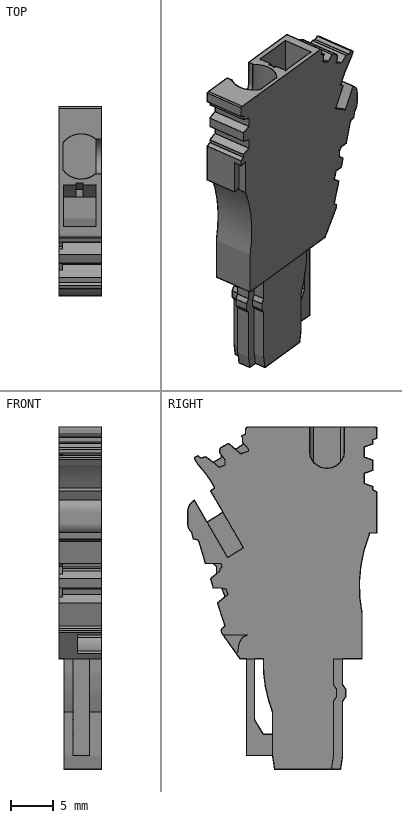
import cadquery as cq
import math


width = 5.1
depth = 22.55
height = 40.75
housing_bottom = 13.15

rear_crown = 0.25
rear_crown_drop = 0.1
tooth_tip_y = 22.05
tooth_root_y = 21.03
rear_gap_tops = (38.7, 35.57)
rear_gap_height = 1.9
rear_gap_slope = 0.35
ledge_z = 32.3
waist_top = (21.65, 27.95)
waist_middle = (20.45, 21.48)
waist_bottom = (20.8, 18.5)

block_inset = 1.0
block_height = 4.2

hole_x, hole_y = 2.65, 16.6
hole_radius = 2.7
hole_depth = 5.7
hole_wall = 0.5
side_wall_x = 4.45
side_notch_y = hole_y
side_notch_radius = 2.08
side_notch_centre_depth = 2.85

window_x = 0.57
window_front, window_rear = 8.25, 13.15
window_depth = 5.7
ramp_foot_y, ramp_drop = 11.75, 1.95
floor_break_y, floor_drop = 9.15, 0.25
slot_x_start, slot_x_end = 2.05, 2.9
slot_rear, slot_foot_y, slot_drop = 13.4, 12.65, 2.45

web_thickness = 0.45
groove_roots = (
    ((6.5, 38.95), (7.2, 38.15), (7.25, 37.85), (6.3, 37.55), (5.6, 38.2), (5.85, 38.2)),
    ((3.85, 37.65), (4.5, 36.8), (4.45, 36.2), (3.75, 35.95), (3.05, 36.55)),
    ((3.05, 24.5), (4.0, 24.5), (4.1, 24.1), (3.87, 23.9), (3.85, 23.6), (3.42, 23.25), (3.42, 24.12)),
    ((4.08, 21.55), (4.6, 21.45), (4.8, 20.82), (4.45, 20.55)),
)

notch_mouth = (0.8, 32.03)
notch_floor = ((4.2, 30.6), (2.32, 29.42))
notch_extra_depth = 4.9

latch_x = 2.2
latch_top, latch_bottom = 16.0, 13.8
latch_back_y, latch_lip_y = 7.15, 5.8
latch_nose_top, latch_nose_middle, latch_nose_foot = (6.5, 15.7), (6.15, 15.0), (6.05, 14.05)
latch_mouth_y = 3.65

plug_x = 0.6
plug_rear = 17.35
plug_front_top, plug_front = 9.0, 10.1
plug_taper_z = 1.65
plug_taper = 0.25
plug_step_z = 6.8
shoulder_top = (9.05, 11.4)
shoulder_middle = (9.4, 9.05)
rear_edge_bump = 0.35
bump_z = 9.1
bump_tip_height = 0.9
bump_base_height = 1.95
overlap = 0.4

strip_x_start, strip_x_end = 1.7, 3.65
rib_x_start = 2.05
rib_offset = 1.1
arm_front, arm_rear = 7.0, 8.0
foot_z, foot_slope_z = 4.2, 5.9


def extrude_x(sketch, x_start, x_end):
    """Extrude a closed YZ outline between two X positions."""
    return sketch.close().extrude(x_end - x_start).translate((x_start, 0, 0))


def slab(points, x_start, x_end):
    """Straight-sided plate from YZ points."""
    return extrude_x(cq.Workplane("YZ").polyline(points), x_start, x_end)


def rear_gap(top):
    """Four points of one trapezoid gap between the rear teeth, from the top down."""
    bottom = top - rear_gap_height
    return [
        (tooth_tip_y, top),
        (tooth_root_y, top - rear_gap_slope),
        (tooth_root_y, bottom + rear_gap_slope),
        (tooth_tip_y, bottom),
    ]


def make_housing():
    top_round_start, top_round_middle, top_round_end = (7.2, height), (6.95, 40.63), (6.9, 40.4)
    upper_front = [
        (6.9, 39.9), (6.4, 39.65), (6.5, 39.5), (6.5, 38.95), (6.65, 38.7), (5.85, 38.2),
        (5.6, 38.2), (4.9, 38.8), (3.9, 38.25), (3.85, 38.05), (3.85, 37.65), (3.95, 37.45),
        (3.95, 37.05), (3.05, 36.55), (2.15, 37.2), (1.6, 37.05), (1.22, 37.33), (0.85, 37.12),
        (0.85, 36.85), (1.3, 36.2), (1.65, 35.8),
    ]
    guide_middle, guide_end = (2.5, 34.7), (3.2, 33.5)
    screwdriver_notch = [(2.75, 33.15), *notch_floor, notch_mouth]
    nose_middle, nose_end = (0.25, 31.45), (0.0, 30.65)
    chin_start, chin_middle, chin_end = (0.0, 29.18), (0.15, 28.6), (0.5, 28.2)
    lower_front = [
        (0.65, 27.42), (1.2, 27.3), (1.35, 27.1), (2.1, 24.5), (3.05, 24.5), (3.42, 24.12),
        (3.42, 23.25), (2.75, 22.7), (3.05, 21.55), (4.08, 21.55), (4.45, 20.55), (3.55, 19.8),
        (4.45, 17.07), (4.08, 16.75), (4.0, 16.55), (4.05, 16.25), (6.25, housing_bottom),
    ]
    rear_teeth = [(waist_top[0], ledge_z), (depth, ledge_z), (depth, 33.0), (tooth_tip_y, 33.25)]
    for top in reversed(rear_gap_tops):
        rear_teeth += reversed(rear_gap(top))
    rear_teeth += [(tooth_tip_y, 39.2), (depth, 39.4), (depth, height - rear_crown_drop)]

    outline = cq.Workplane("YZ").moveTo(depth - rear_crown, height)
    outline = outline.lineTo(*top_round_start).threePointArc(top_round_middle, top_round_end)
    for point in upper_front:
        outline = outline.lineTo(*point)
    outline = outline.threePointArc(guide_middle, guide_end)
    for point in screwdriver_notch:
        outline = outline.lineTo(*point)
    outline = outline.threePointArc(nose_middle, nose_end).lineTo(*chin_start)
    outline = outline.threePointArc(chin_middle, chin_end)
    for point in lower_front + [(waist_bottom[0], housing_bottom), waist_bottom]:
        outline = outline.lineTo(*point)
    outline = outline.threePointArc(waist_middle, waist_top)
    for point in rear_teeth:
        outline = outline.lineTo(*point)
    return extrude_x(outline, 0, width)


def make_finger_block():
    bottom = ledge_z - block_height
    inner_y = waist_top[0] - overlap
    points = [(inner_y, bottom), (depth, bottom), (depth, ledge_z), (inner_y, ledge_z)]
    return slab(points, block_inset, width)


def make_hole():
    bore = (
        cq.Workplane("XY").workplane(offset=height - hole_depth)
        .center(hole_x, hole_y).circle(hole_radius).extrude(hole_depth)
    )
    between_walls = (
        cq.Workplane("XY").workplane(offset=height - hole_depth)
        .center((hole_wall + side_wall_x) / 2, hole_y)
        .rect(side_wall_x - hole_wall, 2 * hole_radius).extrude(hole_depth)
    )
    arc_z = height - side_notch_centre_depth
    side_notch = (
        cq.Workplane("YZ").moveTo(side_notch_y - side_notch_radius, height)
        .lineTo(side_notch_y - side_notch_radius, arc_z)
        .threePointArc((side_notch_y, arc_z - side_notch_radius), (side_notch_y + side_notch_radius, arc_z))
        .lineTo(side_notch_y + side_notch_radius, height)
    )
    return bore.intersect(between_walls).union(extrude_x(side_notch, side_wall_x, width))


def make_window():
    floor_z = height - window_depth
    window = slab(
        [
            (window_rear, height), (ramp_foot_y, height - ramp_drop), (ramp_foot_y, floor_z),
            (floor_break_y, floor_z), (window_front, floor_z - floor_drop), (window_front, height),
        ],
        window_x, side_wall_x,
    )
    slot_z = height - slot_drop
    slot = slab(
        [(slot_rear, height), (slot_foot_y, slot_z), (ramp_foot_y, slot_z), (ramp_foot_y, height)],
        slot_x_start, slot_x_end,
    )
    return window.union(slot)


def make_latch_pocket():
    """Pocket with a rounded latch nose standing at its back."""
    pocket = (
        cq.Workplane("YZ").moveTo(latch_mouth_y, latch_top).lineTo(latch_back_y, latch_top)
        .lineTo(*latch_nose_top).threePointArc(latch_nose_middle, latch_nose_foot)
        .lineTo(latch_lip_y, latch_bottom).lineTo(latch_mouth_y, latch_bottom)
    )
    return extrude_x(pocket, latch_x, width)


def make_notch_extension():
    """Deeper part of the screwdriver notch, parallel to its front wall."""
    rear, front = notch_floor
    run_y = front[0] - notch_mouth[0]
    run_z = front[1] - notch_mouth[1]
    step = notch_extra_depth / math.hypot(run_y, run_z)
    deep_rear = (rear[0] + step * run_y, rear[1] + step * run_z)
    deep_front = (front[0] + step * run_y, front[1] + step * run_z)
    return slab([rear, front, deep_front, deep_rear], web_thickness, width)


def plug_rear_edge(offset):
    """Rear edge of the plug with its locking bump, from the bottom up."""
    y = plug_rear + offset
    tip_y = y + rear_edge_bump
    return [
        (y - plug_taper, 0), (y, plug_taper_z), (y, bump_z - bump_base_height / 2),
        (tip_y, bump_z - bump_tip_height / 2), (tip_y, bump_z + bump_tip_height / 2),
        (y, bump_z + bump_base_height / 2), (y, housing_bottom + overlap),
    ]


def make_plug():
    top = housing_bottom + overlap
    outline = cq.Workplane("YZ").moveTo(plug_front + plug_taper, 0)
    for point in plug_rear_edge(0) + [(plug_front_top, top), (plug_front_top, housing_bottom)]:
        outline = outline.lineTo(*point)
    outline = (
        outline.lineTo(*shoulder_top).threePointArc(shoulder_middle, (plug_front, plug_step_z))
        .lineTo(plug_front, plug_taper_z)
    )
    plug = extrude_x(outline, plug_x, width)

    inner_y = plug_rear - overlap
    rib_points = [(inner_y, 0)] + plug_rear_edge(rib_offset) + [(inner_y, top)]
    return plug.union(slab(rib_points, rib_x_start, strip_x_end))


def make_locking_arm():
    """Front arm hanging from the housing, its foot joined to the plug."""
    top = housing_bottom + overlap
    inner_y = plug_front + overlap
    points = [
        (arm_front, plug_taper_z), (inner_y, plug_taper_z), (inner_y, foot_z),
        (plug_front_top, foot_z), (arm_rear, foot_slope_z), (arm_rear, top), (arm_front, top),
    ]
    return slab(points, strip_x_start, strip_x_end)


result = make_housing()
for addition in (make_finger_block(), make_plug(), make_locking_arm()):
    result = result.union(addition)
for removal in (make_hole(), make_window(), make_latch_pocket(), make_notch_extension()):
    result = result.cut(removal)
for root in groove_roots:
    result = result.cut(slab(root, web_thickness, width))